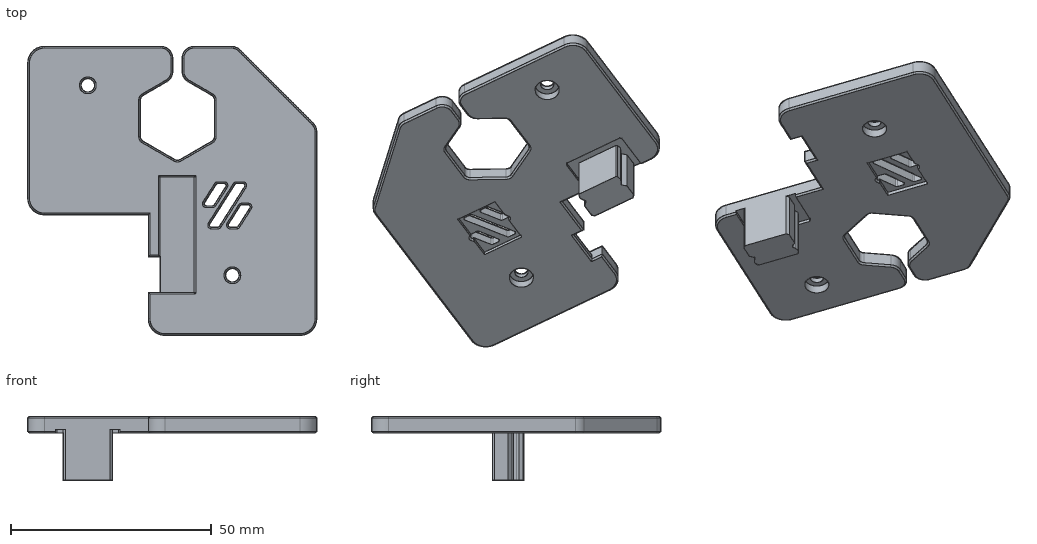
import cadquery as cq
import math

side = 72.0
height = 16.0
plate_thickness = 4.2
step = 30.0
corner_cut = 20.0
corner_radius = 4.2
small_radius = 3.0
edge_chamfer = 0.4

hex_x = 37.3
hex_y = 54.1
hex_across_flats = 18.4
hex_half_angle = 30
hex_corner_radius = 1.45
throat_width = 2.3

hole_diameter = 3.3
counterbore_diameter = 6.0
counterbore_depth = 2.3
hole_centers = [(15.0, 62.3), (51.0, 15.0)]

slots_x = 49.7
slots_y = 32.4
slot_pitch = 4.7
slot_shift = 2.7
slot_width = 2.7
slot_heights = [5.55, 10.9, 5.55]
slot_lean = 32.4
slot_corner_radius = 0.5

relief_width = 10.8
relief_length = 12.95
relief_depth = 1.0

pocket_left = 33.0
pocket_right = 41.5
pocket_front = 10.7
pocket_back = 39.45
pocket_depth = 2.4
notch_back = 19.6

post_x = 15.0
post_width = 12.3
post_chamfer = 0.61
post_body_depth = 5.0
groove_width = 0.3
groove_depth = 1.0
groove_lip = 0.3
barb_length = 2.7
barb_step = 0.3
barb_taper = 0.2
barb_end_chamfer = 0.3
recess_width = 16.1
recess_length = 10.0
recess_depth = 0.9
recess_corner = 0.4

post_bottom = plate_thickness - height


def round_corners(solid, points, radius):
    """Fillet the vertical edges of a plate nearest to the given XY points."""
    edges = cq.Workplane()
    for x, y in points:
        selector = cq.selectors.NearestToPointSelector((x, y, plate_thickness / 2))
        edges = edges.add(solid.edges("|Z").edges(selector).vals())
    return solid.newObject(edges.vals()).fillet(radius)


def plate_blank():
    """Outer outline, including the notch in the side of the right wing."""
    cut_start = side - corner_cut
    outline = [
        (0, step), (step, step), (step, notch_back), (pocket_left, notch_back),
        (pocket_left, pocket_front), (step, pocket_front), (step, 0), (side, 0),
        (side, cut_start), (cut_start, side), (0, side),
    ]
    blank = cq.Workplane().polyline(outline).close().extrude(plate_thickness)
    blank = round_corners(blank, [(0, step), (step, 0), (side, 0), (0, side)], corner_radius)
    return round_corners(blank, [(side, cut_start), (cut_start, side)], small_radius)


def cut_hexagon(plate):
    """Rounded hexagon with two vertical flats, open to the back through a narrow throat."""
    hex_radius = hex_across_flats / 2 / math.cos(math.radians(hex_half_angle))
    hexagon = (
        cq.Workplane().polygon(6, 2 * hex_radius).extrude(plate_thickness)
        .rotate((0, 0, 0), (0, 0, 1), hex_half_angle)
        .edges("|Z").fillet(hex_corner_radius)
        .translate((hex_x, hex_y, 0))
    )
    throat_length = side - hex_y
    throat = (
        cq.Workplane().center(hex_x, hex_y + throat_length / 2)
        .rect(throat_width, throat_length).extrude(plate_thickness)
    )
    plate = plate.cut(hexagon).cut(throat)
    half_throat = throat_width / 2
    root_y = hex_y + hex_radius - half_throat * math.tan(math.radians(hex_half_angle))
    walls = [hex_x - half_throat, hex_x + half_throat]
    return round_corners(plate, [(x, y) for x in walls for y in (root_y, side)], small_radius)


def slot(center_x, center_y, slot_height):
    """Slanted slot with level ends and rounded corners."""
    half_lean = slot_height / 2 * math.tan(math.radians(slot_lean))
    half_width = slot_width / 2
    half_height = slot_height / 2
    corners = [
        (-half_lean - half_width, -half_height), (-half_lean + half_width, -half_height),
        (half_lean + half_width, half_height), (half_lean - half_width, half_height),
    ]
    return (
        cq.Workplane().polyline(corners).close().extrude(plate_thickness)
        .edges("|Z").fillet(slot_corner_radius)
        .translate((center_x, center_y, 0))
    )


def cut_slots(plate):
    """Three parallel slots stepping down to the right."""
    pitch_x = slot_pitch - slot_shift * math.tan(math.radians(slot_lean))
    for index, slot_height in enumerate(slot_heights):
        place = index - 1
        plate = plate.cut(slot(slots_x + place * pitch_x, slots_y - place * slot_shift, slot_height))
    return plate


def pocket():
    """Rectangular pocket with a chamfered rim."""
    width = pocket_right - pocket_left
    length = pocket_back - pocket_front
    well = cq.Workplane().rect(width, length).extrude(pocket_depth)
    rim = (
        cq.Workplane().workplane(offset=pocket_depth - edge_chamfer)
        .rect(width, length).extrude(edge_chamfer, taper=-45)
    )
    center = (pocket_left + width / 2, pocket_front + length / 2, plate_thickness - pocket_depth)
    return well.union(rim).translate(center)


def slot_relief():
    """Shallow rectangular relief in the underside, around the slots."""
    return (
        cq.Workplane().center(slots_x, slots_y)
        .rect(relief_width, relief_length).extrude(relief_depth)
    )


def recess():
    """Shallow relief in the underside, open at the front edge of the left wing."""
    return (
        cq.Workplane().center(post_x, step + recess_length / 2)
        .rect(recess_width, recess_length).extrude(recess_depth)
        .edges("|Z and >Y").chamfer(recess_corner)
    )


def post():
    """Post of one mirrored section: a body flush with the wing edge, a groove and a snap barb."""
    half = post_width / 2
    lip = half - groove_lip
    groove = half - groove_depth
    flank = groove_depth - groove_lip
    groove_front = step + post_body_depth
    groove_back = groove_front + groove_width
    barb_back = groove_back + barb_length
    barb_half = half - barb_step
    barb_end = barb_half - barb_taper
    right_half = [
        (half - post_chamfer, step), (half, step + post_chamfer),
        (half, groove_front - groove_depth), (lip, groove_front - flank),
        (groove, groove_front), (groove, groove_back),
        (lip - barb_step, groove_back + flank), (barb_half, groove_back + 2 * flank),
        (barb_end, barb_back - barb_end_chamfer), (barb_end - barb_end_chamfer, barb_back),
    ]
    left_half = [(-x, y) for x, y in reversed(right_half)]
    return (
        cq.Workplane().workplane(offset=post_bottom)
        .polyline(right_half + left_half).close()
        .extrude(plate_thickness - edge_chamfer - post_bottom)
        .translate((post_x, 0, 0))
    )


plate = cut_slots(cut_hexagon(plate_blank()))
plate = plate.cut(
    cq.Workplane().pushPoints(hole_centers).circle(hole_diameter / 2).extrude(plate_thickness)
)
plate = plate.faces("<Z or >Z").chamfer(edge_chamfer)
plate = plate.cut(
    cq.Workplane().pushPoints(hole_centers).circle(counterbore_diameter / 2).extrude(counterbore_depth)
)
plate = plate.cut(pocket()).cut(recess()).cut(slot_relief())

result = plate.union(post())